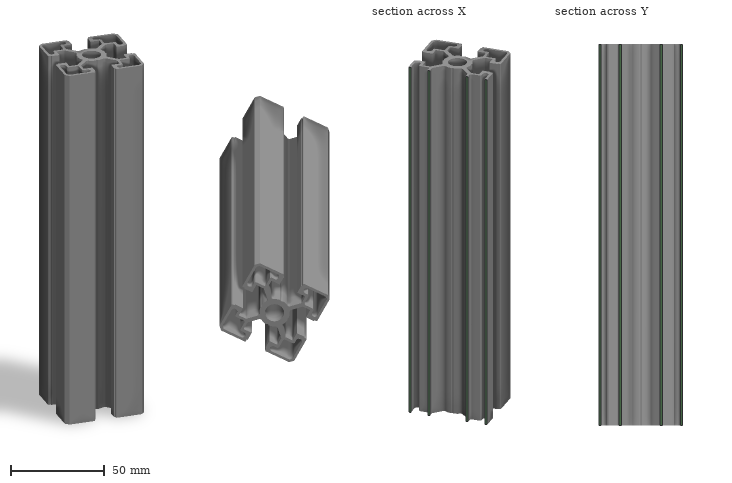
import cadquery as cq
import math

LENGTH = 203.2
WIDTH = 45.0
HALF = WIDTH / 2
CORNER_CHAMFER = 2.0

MOUTH_HALF = 5.3
STEP_WIDTH = 0.5
STEP_DEPTH = 1.6
LIP_CHAMFER = 0.5
LIP_DEPTH = 6.3
SLOT_HALF = 10.2

HUB_RADIUS = 8.1
BORE_RADIUS = 5.0
HUB_FILLET = 1.2
RIB_THICKNESS = 2.2
GROOVE_HALF = 0.8
GROOVE_DEPTH = 0.5

OUTER_WALL = 1.5
SLOT_WALL = 1.5
LIP_WALL = 1.6
CAVITY_END = 7.5
CAVITY_OUTER_FILLET = 2.0
CAVITY_INNER_FILLET = 1.0
CAVITY_CHAMFER = 0.6


def make_blank():
    blank = cq.Workplane("XY").rect(WIDTH, WIDTH).extrude(LENGTH)
    return blank.edges("|Z").chamfer(CORNER_CHAMFER)


def upright_edge(x, y):
    """Selector for the lengthwise edge at the given place."""
    return cq.selectors.NearestToPointSelector((x, y, LENGTH / 2))


def make_slot():
    """Solid of the empty space in the +Y slot, down to the hub."""
    lip_under = HALF - LIP_DEPTH
    step_half = MOUTH_HALF + STEP_WIDTH
    rib_offset = RIB_THICKNESS / math.sqrt(2)
    rib_end_x = (math.sqrt(2 * HUB_RADIUS**2 - rib_offset**2) - rib_offset) / 2
    rib_end_y = rib_end_x + rib_offset
    groove_top = math.sqrt(HUB_RADIUS**2 - GROOVE_HALF**2)
    arc_mid_x = (rib_end_x + GROOVE_HALF) / 2
    arc_mid_y = math.sqrt(HUB_RADIUS**2 - arc_mid_x**2)

    right_side = [
        (step_half + LIP_CHAMFER, HALF),
        (step_half, HALF - LIP_CHAMFER),
        (step_half, HALF - STEP_DEPTH),
        (MOUTH_HALF, HALF - STEP_DEPTH),
        (MOUTH_HALF, lip_under),
        (SLOT_HALF, lip_under),
        (SLOT_HALF, SLOT_HALF + rib_offset),
        (rib_end_x, rib_end_y),
    ]
    left_side = [(-x, y) for x, y in reversed(right_side)]

    outline = (
        cq.Workplane("XY")
        .polyline(right_side)
        .threePointArc((arc_mid_x, arc_mid_y), (GROOVE_HALF, groove_top))
        .lineTo(0, groove_top - GROOVE_DEPTH)
        .lineTo(-GROOVE_HALF, groove_top)
        .threePointArc((-arc_mid_x, arc_mid_y), left_side[0])
    )
    for point in left_side[1:]:
        outline = outline.lineTo(*point)
    slot = outline.close().extrude(LENGTH)
    for x in (-rib_end_x, rib_end_x):
        rib_edge = upright_edge(x, rib_end_y)
        slot = slot.edges(rib_edge).fillet(HUB_FILLET)
    return slot


def make_cavity():
    """Solid of the L-shaped hollow in the +X +Y corner, with round ends."""
    outer = HALF - OUTER_WALL
    inner = SLOT_HALF + SLOT_WALL
    lip_back = HALF - LIP_DEPTH + LIP_WALL
    end_radius = (outer - lip_back) / 2
    arm_middle = (outer + lip_back) / 2
    arm_start = CAVITY_END + end_radius

    hollow = (
        cq.Workplane("XY")
        .moveTo(outer, outer)
        .lineTo(arm_start, outer)
        .threePointArc((CAVITY_END, arm_middle), (arm_start, lip_back))
        .lineTo(inner - CAVITY_CHAMFER, lip_back)
        .lineTo(inner, lip_back - CAVITY_CHAMFER)
        .lineTo(inner, inner)
        .lineTo(lip_back - CAVITY_CHAMFER, inner)
        .lineTo(lip_back, inner - CAVITY_CHAMFER)
        .lineTo(lip_back, arm_start)
        .threePointArc((arm_middle, CAVITY_END), (outer, arm_start))
        .close()
        .extrude(LENGTH)
    )
    hollow = hollow.edges(upright_edge(outer, outer)).fillet(CAVITY_OUTER_FILLET)
    return hollow.edges(upright_edge(inner, inner)).fillet(CAVITY_INNER_FILLET)


bore = cq.Workplane("XY").circle(BORE_RADIUS).extrude(LENGTH)
slot = make_slot()
cavity = make_cavity()

result = make_blank().cut(bore)
for angle in (0, 90, 180, 270):
    result = result.cut(slot.rotate((0, 0, 0), (0, 0, 1), angle))
    result = result.cut(cavity.rotate((0, 0, 0), (0, 0, 1), angle))